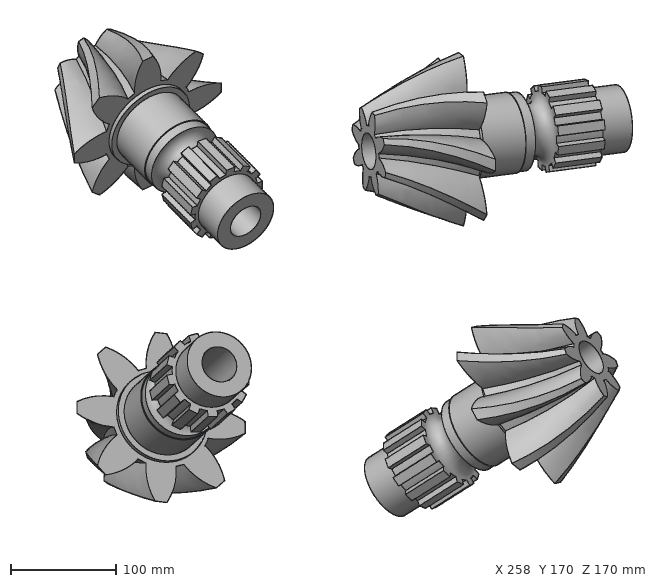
import cadquery as cq
import math


total_length = 258.0
gear_length = 95.0
collar_end = 99.5
journal_end = 145.8
groove_start = 155.8
groove_radius = 11.0
spline_start = groove_start + 2 * groove_radius
spline_length = 48.0
spline_end = spline_start + spline_length

bore_radius = 17.5
collar_radius = 45.0
journal_radius = 39.0
shoulder_radius = 38.0
tail_radius = 32.5

gear_teeth = 8
gear_span = 170.0
gear_tip_height = gear_span / 2
gear_tip_half_width = 6.0
gear_flank_height = 68.4
gear_flank_half_width = 13.2
gear_root_height = 47.7
gear_root_half_width = 15.2
small_face_scale = 0.5
gear_twist = 29.5
gear_sections = 5

spline_teeth = 13
spline_root_radius = 36.0
spline_tip_height = 41.5
spline_tip_half_width = 9.5 / 2
spline_root_half_width = 10.0 / 2


def turned(point, angle, scale=1.0):
    """Scale a point about the axis and turn it from +Z towards +Y by an angle in degrees."""
    y, z = point
    a = math.radians(angle)
    return (
        scale * (y * math.cos(a) + z * math.sin(a)),
        scale * (z * math.cos(a) - y * math.sin(a)),
    )


def gear_section(x, scale, twist):
    """Closed outline of all gear teeth in the plane at x."""
    tooth = [
        (-gear_root_half_width, gear_root_height),
        (-gear_flank_half_width, gear_flank_height),
        (-gear_tip_half_width, gear_tip_height),
        (gear_tip_half_width, gear_tip_height),
        (gear_flank_half_width, gear_flank_height),
        (gear_root_half_width, gear_root_height),
    ]
    outline = cq.Workplane("YZ", origin=(x, 0, 0))
    for i in range(gear_teeth):
        angle = twist + i * 360 / gear_teeth
        root_a, flank_a, tip_a, tip_b, flank_b, root_b = [turned(p, angle, scale) for p in tooth]
        outline = outline.moveTo(*root_a) if i == 0 else outline.lineTo(*root_a)
        outline = outline.threePointArc(flank_a, tip_a).lineTo(*tip_b).threePointArc(flank_b, root_b)
    return outline.close().wire().val()


def bevel_gear():
    """Spiral bevel gear: the outline grows and turns evenly along the axis."""
    sections = []
    for i in range(gear_sections):
        along = i / (gear_sections - 1)
        scale = small_face_scale + (1 - small_face_scale) * along
        sections.append(gear_section(along * gear_length, scale, gear_twist * (1 - along)))
    return cq.Workplane(obj=cq.Solid.makeLoft(sections, False))


def shaft():
    """Stepped shaft with a round-bottomed relief groove ahead of the spline."""
    groove_center = groove_start + groove_radius
    groove_bottom = spline_root_radius - groove_radius
    return (
        cq.Workplane("XY")
        .moveTo(gear_length, 0)
        .lineTo(gear_length, collar_radius)
        .lineTo(collar_end, collar_radius)
        .lineTo(collar_end, journal_radius)
        .lineTo(journal_end, journal_radius)
        .lineTo(journal_end, shoulder_radius)
        .lineTo(groove_start, shoulder_radius)
        .lineTo(groove_start, spline_root_radius)
        .threePointArc((groove_center, groove_bottom), (spline_start, spline_root_radius))
        .lineTo(spline_end, spline_root_radius)
        .lineTo(spline_end, tail_radius)
        .lineTo(total_length, tail_radius)
        .lineTo(total_length, 0)
        .close()
        .revolve(360, (0, 0, 0), (1, 0, 0))
    )


def spline_tooth(index):
    """One straight spline tooth; the tooth with index 0 points to +Y."""
    foot_height = math.sqrt(spline_root_radius**2 - spline_root_half_width**2)
    return (
        cq.Workplane("YZ", origin=(spline_start, 0, 0))
        .moveTo(foot_height, -spline_root_half_width)
        .lineTo(spline_tip_height, -spline_tip_half_width)
        .lineTo(spline_tip_height, spline_tip_half_width)
        .lineTo(foot_height, spline_root_half_width)
        .lineTo(tail_radius, 0)
        .close()
        .extrude(spline_length)
        .rotate((0, 0, 0), (1, 0, 0), index * 360 / spline_teeth)
    )


def bore():
    """Through bore on the axis."""
    return cq.Workplane("YZ").circle(bore_radius).extrude(total_length)


body = bevel_gear().union(shaft())
for tooth_index in range(spline_teeth):
    body = body.union(spline_tooth(tooth_index))
result = body.cut(bore())